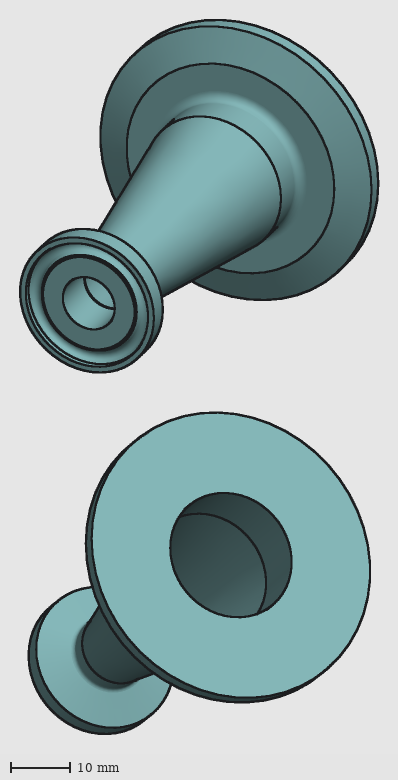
import cadquery as cq
import math

TOTAL_LENGTH = 63.5
WALL = 1.65

LARGE_FLANGE_RADIUS = 25.2
LARGE_TUBE_RADIUS = 12.65
LARGE_FERRULE_LENGTH = 12.1
LARGE_RIM_THICKNESS = 2.8
LARGE_FLANGE_THICKNESS = 5.0
LARGE_BACK_RADIUS = 19.3
LARGE_NECK_FILLET = 1.6

SMALL_FLANGE_RADIUS = 12.45
SMALL_TUBE_RADIUS = 6.35
SMALL_FERRULE_LENGTH = 9.45
SMALL_RIM_THICKNESS = 3.7
SMALL_BEVEL_ANGLE = 20.0
SMALL_NECK_FILLET = 0.8

SMALL_FERRULE_BORE_RADIUS = 4.8
SEAT_RADIUS = 11.35
SEAT_WALL_DEPTH = 1.15
LAND_DEPTH = 0.75
LAND_RADIUS = 8.5
LAND_BEVEL_RADIUS = 8.8
LAND_BEVEL_DEPTH = 0.95
GROOVE_CENTER_RADIUS = 10.15
GROOVE_ARC_HALF_WIDTH = 0.75
GROOVE_ARC_DEPTH = 1.85
GROOVE_DEPTH = 2.2

LARGE_BORE_RADIUS = LARGE_TUBE_RADIUS - WALL
CONE_BORE_RADIUS = SMALL_TUBE_RADIUS - WALL
CONE_START = SMALL_FERRULE_LENGTH
CONE_END = TOTAL_LENGTH - LARGE_FERRULE_LENGTH


def turn(points):
    """Revolve a closed (radius, y) outline about the Y axis."""
    return cq.Workplane("XY").polyline(points).close().revolve(360, (0, 0, 0), (0, 1, 0))


def circle_edge(body, radius, y):
    """Pick the circular edge of the given radius at height y."""
    margin = 0.005
    return body.edges(cq.selectors.BoxSelector(
        (-radius - margin, y - margin, -radius - margin),
        (radius + margin, y + margin, radius + margin),
        boundingbox=True,
    ))


def make_large_ferrule():
    back_y = TOTAL_LENGTH - LARGE_FLANGE_THICKNESS
    rim_y = TOTAL_LENGTH - LARGE_RIM_THICKNESS
    body = turn([
        (LARGE_BORE_RADIUS, CONE_END),
        (LARGE_TUBE_RADIUS, CONE_END),
        (LARGE_TUBE_RADIUS, back_y),
        (LARGE_BACK_RADIUS, back_y),
        (LARGE_FLANGE_RADIUS, rim_y),
        (LARGE_FLANGE_RADIUS, TOTAL_LENGTH),
        (LARGE_BORE_RADIUS, TOTAL_LENGTH),
    ])
    return circle_edge(body, LARGE_TUBE_RADIUS, back_y).fillet(LARGE_NECK_FILLET)


def make_reducer_cone():
    return turn([
        (CONE_BORE_RADIUS, CONE_START),
        (SMALL_TUBE_RADIUS, CONE_START),
        (LARGE_TUBE_RADIUS, CONE_END),
        (LARGE_BORE_RADIUS, CONE_END),
    ])


def make_seat_cutter():
    """Material removed inside the rim: the set-back land and the round-bottomed groove."""
    outline = (
        cq.Workplane("XY")
        .moveTo(0, 0)
        .lineTo(SEAT_RADIUS, 0)
        .lineTo(SEAT_RADIUS, SEAT_WALL_DEPTH)
        .lineTo(GROOVE_CENTER_RADIUS + GROOVE_ARC_HALF_WIDTH, GROOVE_ARC_DEPTH)
        .threePointArc(
            (GROOVE_CENTER_RADIUS, GROOVE_DEPTH),
            (GROOVE_CENTER_RADIUS - GROOVE_ARC_HALF_WIDTH, GROOVE_ARC_DEPTH),
        )
        .lineTo(LAND_BEVEL_RADIUS, LAND_BEVEL_DEPTH)
        .lineTo(LAND_RADIUS, LAND_DEPTH)
        .lineTo(0, LAND_DEPTH)
        .close()
    )
    return outline.revolve(360, (0, 0, 0), (0, 1, 0))


def make_small_ferrule():
    bevel_rise = (SMALL_FLANGE_RADIUS - SMALL_TUBE_RADIUS) * math.tan(math.radians(SMALL_BEVEL_ANGLE))
    neck_y = SMALL_RIM_THICKNESS + bevel_rise
    body = turn([
        (SMALL_FERRULE_BORE_RADIUS, 0),
        (SMALL_FLANGE_RADIUS, 0),
        (SMALL_FLANGE_RADIUS, SMALL_RIM_THICKNESS),
        (SMALL_TUBE_RADIUS, neck_y),
        (SMALL_TUBE_RADIUS, CONE_START),
        (SMALL_FERRULE_BORE_RADIUS, CONE_START),
    ])
    body = circle_edge(body, SMALL_TUBE_RADIUS, neck_y).fillet(SMALL_NECK_FILLET)
    return body.cut(make_seat_cutter())


large_ferrule = make_large_ferrule()
reducer_cone = make_reducer_cone()
small_ferrule = make_small_ferrule()

result = cq.Compound.makeCompound([
    large_ferrule.val(),
    reducer_cone.val(),
    small_ferrule.val(),
])